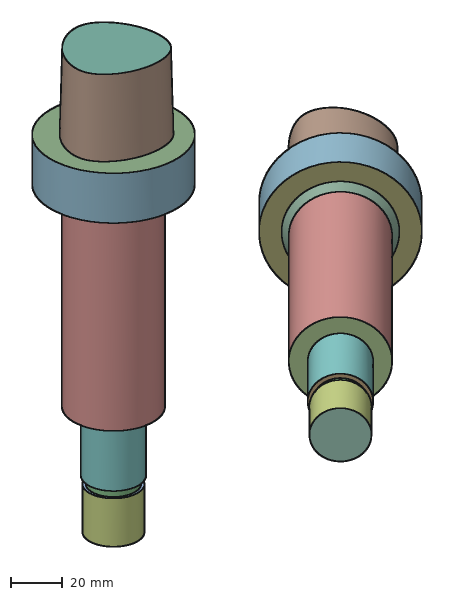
import cadquery as cq
import math

TIP_DIAMETER = 24.0
GROOVE_DIAMETER = 21.5
NECK_DIAMETER = 25.3
BODY_DIAMETER = 40.0
FLANGE_DIAMETER = 63.0
CONE_TOP_DIAMETER = 45.5

TIP_TOP = 21.3
GROOVE_TOP = 25.0
NECK_TOP = 55.4
CONE_BOTTOM = 150.0
FLANGE_BOTTOM = 153.1
FLANGE_TOP = 175.0
TOTAL_HEIGHT = 213.0

SHANK_BASE_RADIUS = 22.05
TAPER_ON_DIAMETER = 1 / 20
LOBE_HEIGHT = 1.21
LOBE_COUNT = 3
SPLINE_POINTS = 36
SEAM_ANGLE = -math.pi / 2


def make_shaft():
    """Revolve the stepped half-profile about Z."""
    tip_radius = TIP_DIAMETER / 2
    groove_radius = GROOVE_DIAMETER / 2
    neck_radius = NECK_DIAMETER / 2
    body_radius = BODY_DIAMETER / 2
    flange_radius = FLANGE_DIAMETER / 2
    profile = [
        (0, 0),
        (tip_radius, 0),
        (tip_radius, TIP_TOP),
        (groove_radius, TIP_TOP),
        (groove_radius, GROOVE_TOP),
        (neck_radius, GROOVE_TOP),
        (neck_radius, NECK_TOP),
        (body_radius, NECK_TOP),
        (body_radius, CONE_BOTTOM),
        (CONE_TOP_DIAMETER / 2, FLANGE_BOTTOM),
        (flange_radius, FLANGE_BOTTOM),
        (flange_radius, FLANGE_TOP),
        (0, FLANGE_TOP),
    ]
    return cq.Workplane("XZ").polyline(profile).close().revolve(360, (0, 0), (0, 1))


def lobed_wire(mean_radius, height):
    """Constant-width outline whose tangent distance is mean_radius + LOBE_HEIGHT * cos(3 * turn).

    One lobe points toward -Y, where the outline starts and ends.
    """
    points = []
    for index in range(SPLINE_POINTS):
        turn = 2 * math.pi * index / SPLINE_POINTS
        distance = mean_radius + LOBE_HEIGHT * math.cos(LOBE_COUNT * turn)
        slope = -LOBE_COUNT * LOBE_HEIGHT * math.sin(LOBE_COUNT * turn)
        angle = SEAM_ANGLE + turn
        x = distance * math.cos(angle) - slope * math.sin(angle)
        y = distance * math.sin(angle) + slope * math.cos(angle)
        points.append(cq.Vector(x, y, height))
    return cq.Wire.assembleEdges([cq.Edge.makeSpline(points, periodic=True)])


def make_shank():
    """Loft the lobed outline from the flange up to the smaller top end."""
    top_radius = SHANK_BASE_RADIUS - TAPER_ON_DIAMETER / 2 * (TOTAL_HEIGHT - FLANGE_TOP)
    base = lobed_wire(SHANK_BASE_RADIUS, FLANGE_TOP)
    top = lobed_wire(top_radius, TOTAL_HEIGHT)
    return cq.Workplane(cq.Solid.makeLoft([base, top], True))


result = make_shaft().union(make_shank())